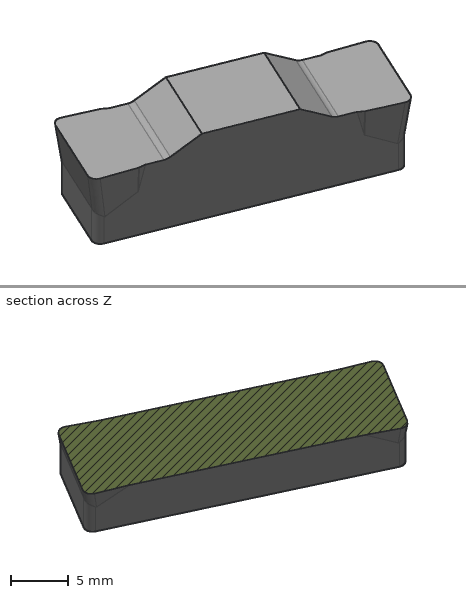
import cadquery as cq
import math

length = 30.0
height = 9.45
head_width = 9.05

body_width = 8.4
body_length = 29.0
corner_radius = 0.8

seat_height = 7.6
crown_length = 9.12
ramp_angle = math.radians(30)
ramp_foot_radius = 1.2

front_relief = math.radians(7)
side_relief = math.radians(3.8)
side_taper = math.radians(2.3)
back_taper = math.radians(15.3)
back_edge_y = 10.5
back_edge_radius = 0.4
buried_length = 2.4


def make_body():
    """Straight bar with a ramped crown and rounded upright corners."""
    half_length = body_length / 2
    crown_end = crown_length / 2
    ramp_foot = crown_end + (height - seat_height) / math.tan(ramp_angle)
    profile = [
        (-half_length, 0),
        (half_length, 0),
        (half_length, seat_height),
        (ramp_foot, seat_height),
        (crown_end, height),
        (-crown_end, height),
        (-ramp_foot, seat_height),
        (-half_length, seat_height),
    ]
    bar = cq.Workplane("YZ").polyline(profile).close().extrude(body_width / 2, both=True)
    bar = bar.edges("|Z").fillet(corner_radius)
    for side in (-1, 1):
        foot = cq.selectors.NearestToPointSelector((0, side * ramp_foot, seat_height))
        bar = bar.edges(foot).fillet(ramp_foot_radius)
    return bar


def head_section(depth):
    """Corner points of the head at a depth below the seat."""
    front_y = length / 2 - depth * math.tan(front_relief)
    widest_y = length / 2 - corner_radius
    narrowing = depth * math.tan(side_relief)

    def flank_x(y):
        return head_width / 2 - narrowing - (widest_y - y) * math.tan(side_taper)

    back_edge_x = flank_x(back_edge_y)
    tail_x = back_edge_x - buried_length * math.tan(back_taper)
    tail_y = back_edge_y - buried_length
    right = [(tail_x, tail_y), (back_edge_x, back_edge_y), (flank_x(front_y), front_y)]
    left = [(-x, y) for x, y in reversed(right)]
    return right + left


def make_head():
    """Relieved head at the +Y end, from the seat down to the base."""
    head = (
        cq.Workplane("XY")
        .polyline(head_section(seat_height)).close()
        .workplane(offset=seat_height)
        .polyline(head_section(0)).close()
        .loft(ruled=True)
    )
    middle = seat_height / 2
    _, back_edge, front_corner, *_ = head_section(middle)
    for (x, y), radius in ((front_corner, corner_radius), (back_edge, back_edge_radius)):
        for side in (-1, 1):
            edge = cq.selectors.NearestToPointSelector((side * x, y, middle))
            head = head.edges(edge).fillet(radius)
    return head


head = make_head()
result = make_body().union(head).union(head.mirror("XZ")).clean()